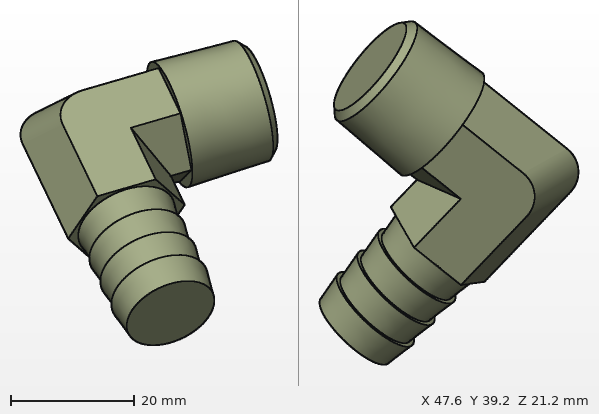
import cadquery as cq
import math


hex_across_flats = 17.5
hex_half_height = hex_across_flats / 2
hex_corner_radius = hex_across_flats / math.sqrt(3)
hex_flat_half_width = hex_corner_radius / 2
elbow_bend_radius = 5.5
elbow_x_end = 16.55
elbow_y_end = 13.65

spigot_base_radius = 10.6
spigot_end_radius = 10.2
spigot_chamfer = 1.25
spigot_end = 39.15 - hex_corner_radius

barb_count = 4
barb_large_radius = 8.35
barb_small_radius = 7.6
barb_end = 47.55 - spigot_base_radius
barb_pitch = (barb_end - elbow_x_end) / barb_count


def elbow_outline(sketch, half_width):
    """Draw an L of the given arm half width, rounded at its outer corner."""
    bend_start = elbow_bend_radius - half_width
    bend_middle = bend_start - elbow_bend_radius * math.sqrt(0.5)
    return (
        sketch.moveTo(bend_start, -half_width)
        .lineTo(elbow_x_end, -half_width)
        .lineTo(elbow_x_end, half_width)
        .lineTo(half_width, half_width)
        .lineTo(half_width, elbow_y_end)
        .lineTo(-half_width, elbow_y_end)
        .lineTo(-half_width, bend_start)
        .threePointArc((bend_middle, bend_middle), (bend_start, -half_width))
        .close()
    )


def make_elbow():
    """Loft the upper half from the hexagon's corners to its flat, then mirror it."""
    middle = elbow_outline(cq.Workplane("XY"), hex_corner_radius)
    flat = elbow_outline(middle.workplane(offset=hex_half_height), hex_flat_half_width)
    upper_half = flat.loft(ruled=True)
    return upper_half.union(upper_half.mirror("XY"))


def make_spigot():
    """Revolve the tapered spigot, chamfered at its free end, about the Y axis."""
    profile = [
        (0, elbow_y_end),
        (spigot_base_radius, elbow_y_end),
        (spigot_end_radius, spigot_end - spigot_chamfer),
        (spigot_end_radius - spigot_chamfer, spigot_end),
        (0, spigot_end),
    ]
    return cq.Workplane("XY").polyline(profile).close().revolve(360, (0, 0), (0, 1))


def make_barbs():
    """Revolve a sawtooth profile, each tooth narrowing outward, about the X axis."""
    profile = [(elbow_x_end, 0)]
    for index in range(barb_count):
        tooth_start = elbow_x_end + index * barb_pitch
        profile.append((tooth_start, barb_large_radius))
        profile.append((tooth_start + barb_pitch, barb_small_radius))
    profile.append((barb_end, 0))
    return cq.Workplane("XY").polyline(profile).close().revolve(360, (0, 0), (1, 0))


result = make_elbow().union(make_spigot()).union(make_barbs())